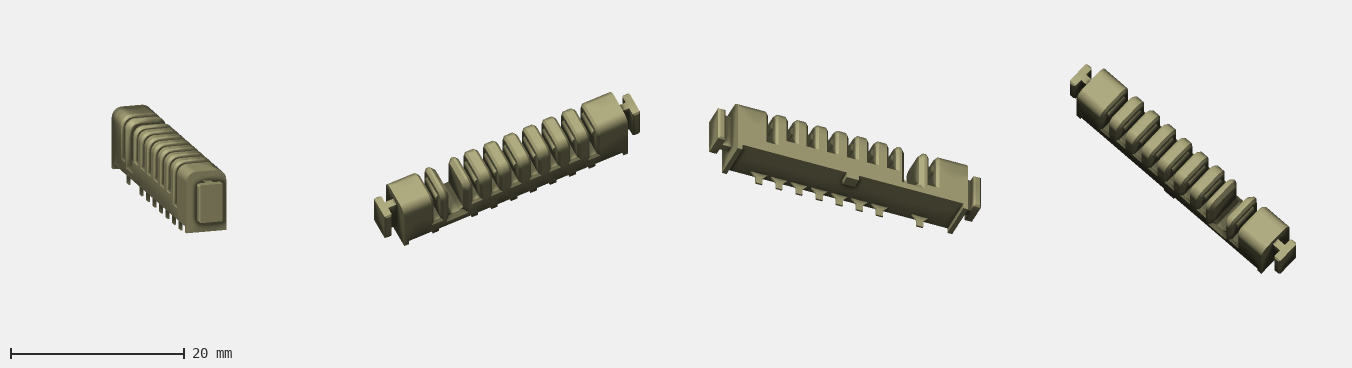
import cadquery as cq
import math

overall_length = 32.7
body_length = 28.68
body_width = 4.8
body_height = 7.25
body_edge_radius = 1.2
foot_height = 0.7
end_foot_length = 0.6
center_foot_length = 1.5
center_foot_width = 1.3

contact_span = 20.0
end_index = 4
key_index = -3
pitch = contact_span / (2 * end_index)
contact_indices = [i for i in range(-end_index, end_index + 1) if i != key_index]

slot_width = 0.9
slot_chamfer = 0.3
slot_floor = 3.3
end_slot_floor = 2.35

key_width = 1.85
key_chamfer = 0.5
key_floor = 1.95
key_gusset = 0.45

bump_radius = 0.6
bump_reach = 0.31
bump_width = 2.85
bump_height = 5.62
tail_width = 0.82
tail_thickness = 0.23
tail_drop = 0.8
tail_y = -1.73
shoulder_width = 2.03
shoulder_drop = 0.65

lug_head_length = 0.9
lug_head_width = 3.07
lug_neck_width = 0.88
lug_bottom = 1.67
lug_height = 4.5
lug_chamfer = 0.2

select_margin = 0.03


def block(length, width, height, x, y, bottom):
    """A box centred on (x, y) and standing on the height 'bottom'."""
    base = cq.Workplane("XY", origin=(x, y, bottom))
    return base.box(length, width, height, centered=(True, True, False))


def make_body():
    """The housing with its two long top edges rounded."""
    body = block(body_length, body_width, body_height - foot_height, 0, 0, foot_height)
    return body.edges("|X and >Z").fillet(body_edge_radius)


def edges_around(x, width, bottom, top):
    """Select the edges inside a full-width zone centred on x, between two heights."""
    reach = width / 2 + select_margin
    low_corner = (x - reach, -body_width, bottom - select_margin)
    high_corner = (x + reach, body_width, top + select_margin)
    return cq.selectors.BoxSelector(low_corner, high_corner, boundingbox=True)


def cut_slot(body, x, width, floor, chamfer):
    """Cut a slot across the body and chamfer its rim, leaving the two inside floor corners sharp."""
    body = body.cut(block(width, body_width, body_height, x, 0, floor))
    rim = edges_around(x, width, floor, body_height)
    along_width = cq.selectors.ParallelDirSelector(cq.Vector(0, 1, 0))
    floor_corners = edges_around(x, width, floor, floor) & along_width
    return body.edges(rim - floor_corners).chamfer(chamfer)


def make_key_gusset(side):
    """A 45 degree wedge in one bottom corner of the key slot."""
    wall_x = key_index * pitch + side * key_width / 2
    length = body_width - 2 * key_chamfer
    return (
        cq.Workplane("XZ", origin=(wall_x, length / 2, key_floor))
        .polyline([(0, 0), (-side * key_gusset, 0), (0, key_gusset)])
        .close()
        .extrude(length)
    )


def make_bump(x, side):
    """The rounded contact face standing out of one slot wall."""
    half_chord = math.sqrt(bump_radius**2 - (bump_radius - bump_reach) ** 2)
    return (
        cq.Workplane("XZ", origin=(x + side * slot_width / 2, bump_width / 2, bump_height))
        .moveTo(0, -half_chord)
        .threePointArc((-side * bump_reach, 0), (0, half_chord))
        .close()
        .extrude(bump_width)
    )


def make_tail(x):
    """A flat solder tail under a tapered shoulder."""
    shoulder_bottom = foot_height - shoulder_drop
    return (
        cq.Workplane("XZ", origin=(x, tail_y + tail_thickness / 2, 0))
        .polyline([
            (-shoulder_width / 2, foot_height),
            (-tail_width / 2, shoulder_bottom),
            (-tail_width / 2, -tail_drop),
            (tail_width / 2, -tail_drop),
            (tail_width / 2, shoulder_bottom),
            (shoulder_width / 2, foot_height),
        ])
        .close()
        .extrude(tail_thickness)
    )


def make_lug(side):
    """A T-shaped mounting lug on one end of the body."""
    head_x = side * (overall_length - lug_head_length) / 2
    head = block(lug_head_length, lug_head_width, lug_height, head_x, 0, lug_bottom)
    head = head.faces("<Y or >Y").edges().chamfer(lug_chamfer)
    neck_length = (overall_length - body_length) / 2 - lug_head_length
    neck_x = side * (body_length + neck_length) / 2
    return head.union(block(neck_length, lug_neck_width, lug_height, neck_x, 0, lug_bottom))


result = make_body()
for index in contact_indices:
    floor = end_slot_floor if abs(index) == end_index else slot_floor
    result = cut_slot(result, index * pitch, slot_width, floor, slot_chamfer)
result = cut_slot(result, key_index * pitch, key_width, key_floor, key_chamfer)

for side in (-1, 1):
    foot_x = side * (body_length - end_foot_length) / 2
    result = result.union(block(end_foot_length, body_width, foot_height, foot_x, 0, 0))
    result = result.union(make_lug(side))
    result = result.union(make_key_gusset(side))

center_foot_y = (body_width - center_foot_width) / 2
result = result.union(block(center_foot_length, center_foot_width, foot_height, 0, center_foot_y, 0))

for index in contact_indices:
    result = result.union(make_tail(index * pitch))
    for side in (-1, 1):
        result = result.union(make_bump(index * pitch, side))